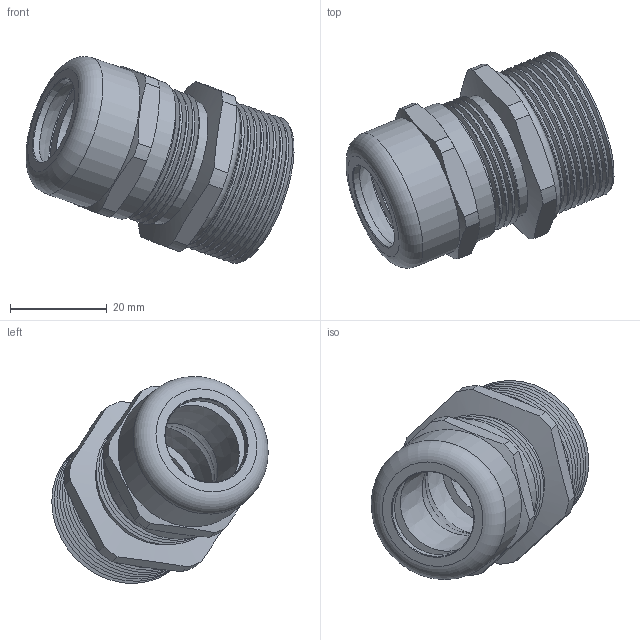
import cadquery as cq
import math


axis_heading = 22.27
axis_drop = 17.7
axis_roll = 0.9

seal_front = -19.55
seal_end = -8.2
seal_radius = 24.2 / 2
seal_front_bore_radius = 18.87 / 2
seal_end_bore_radius = 18.17 / 2

cap_front = -25.15
cap_end = -4.45
cap_radius = 29.72 / 2
cap_face_radius = 11.2
cap_rounding = cap_radius - cap_face_radius
cap_opening_radius = 18.17 / 2
cap_opening_chamfer = 0.15
cap_lip_end = -23.6
cap_cone_end = -19.85
cap_bore_radius = 26.72 / 2
cap_hex_apothem = 15.1
cap_hex_corner_radius = 16.66
cap_hex_front = -12.85
cap_hex_back = -8.45
cap_hex_bevel = 20.0

cage_radius = seal_radius
cage_throat = -4.0
cage_throat_radius = 10.0
cage_end = 0.8
cage_end_bore_radius = 22.9 / 2

neck_radius = cap_bore_radius
body_end = 22.95
body_bore_radius = 22.07 / 2
body_shoulder = 8.1
outlet_radius = 18.8 / 2

flange_front = 3.95
flange_back = 8.45
flange_apothem = 17.05
flange_corner_radius = 18.75
flange_front_bevel = 8.0
flange_back_bevel = 15.0
ring_radius = 17.0
ring_end = 10.3

thread_pitch = 1.5
thread_flank = 0.5
neck_crest_radius = 14.2
neck_first_crest = -3.1
neck_crests = 4
entry_crest_radius = 15.9
entry_root_radius = 15.2
entry_first_crest = 10.45
entry_crests = 9
entry_end_radius = 31.16 / 2


def revolved(outline):
    """Solid of revolution about local Z from a closed outline in the XZ plane."""
    return outline.close().revolve(360, (0, 0, 0), (0, 1, 0))


def turned(points):
    """Solid of revolution from straight-sided (radius, station) points."""
    return revolved(cq.Workplane("XZ").polyline(points))


def drilled(solid, radius, front, back):
    """The solid with a round hole along the axis between two stations."""
    drill = cq.Workplane("XY", origin=(0, 0, front)).circle(radius).extrude(back - front)
    return solid.cut(drill)


def hexagon(apothem, corner_radius, front, back, flat_radii, bevels):
    """Hexagonal collar with turned corners and conical end faces (front, back)."""
    front_flat_radius, back_flat_radius = flat_radii
    front_bevel, back_bevel = bevels
    front_rise = (corner_radius - front_flat_radius) * math.tan(math.radians(front_bevel))
    back_drop = (corner_radius - back_flat_radius) * math.tan(math.radians(back_bevel))
    blank = turned([
        (0, front),
        (front_flat_radius, front),
        (corner_radius, front + front_rise),
        (corner_radius, back - back_drop),
        (back_flat_radius, back),
        (0, back),
    ])
    prism = (
        cq.Workplane("XY", origin=(0, 0, front))
        .polygon(6, 2 * apothem, circumscribed=True)
        .extrude(back - front)
        .rotate((0, 0, 0), (0, 0, 1), axis_roll)
    )
    return prism.intersect(blank)


def ridges(first_crest, count, crest_radius, root_radius):
    """Outline points of a row of V-shaped thread ridges."""
    points = []
    for i in range(count):
        crest = first_crest + i * thread_pitch
        points += [
            (root_radius, crest - thread_flank),
            (crest_radius, crest),
            (root_radius, crest + thread_flank),
        ]
    return points


def make_cap():
    arc_offset = cap_rounding * math.sqrt(0.5)
    shell = revolved(
        cq.Workplane("XZ")
        .moveTo(cap_opening_radius, cap_front + cap_opening_chamfer)
        .lineTo(cap_opening_radius + cap_opening_chamfer, cap_front)
        .lineTo(cap_face_radius, cap_front)
        .threePointArc(
            (cap_face_radius + arc_offset, cap_front + cap_rounding - arc_offset),
            (cap_radius, cap_front + cap_rounding),
        )
        .lineTo(cap_radius, cap_end)
        .lineTo(cap_bore_radius, cap_end)
        .lineTo(cap_bore_radius, seal_end)
        .lineTo(seal_radius, seal_end)
        .lineTo(seal_radius, cap_cone_end)
        .lineTo(cap_opening_radius, cap_lip_end)
    )
    collar = hexagon(
        cap_hex_apothem, cap_hex_corner_radius, cap_hex_front, cap_hex_back,
        (cap_radius, cap_radius), (cap_hex_bevel, cap_hex_bevel),
    )
    return shell.union(drilled(collar, cap_bore_radius, cap_hex_front, cap_hex_back))


def make_seal():
    return turned([
        (seal_front_bore_radius, seal_front),
        (seal_radius, seal_front),
        (seal_radius, seal_end),
        (seal_end_bore_radius, seal_end),
    ])


def make_cage():
    return turned([
        (seal_end_bore_radius, seal_end),
        (cage_radius, seal_end),
        (cage_radius, cage_end),
        (cage_end_bore_radius, cage_end),
        (cage_throat_radius, cage_throat),
    ])


def make_barrel():
    """Threaded sleeve of the body with its stepped bore."""
    points = [(cage_radius, seal_end), (neck_radius, seal_end)]
    points += ridges(neck_first_crest, neck_crests, neck_crest_radius, neck_radius)
    points += [(neck_radius, flange_back), (entry_root_radius, flange_back)]
    points += ridges(entry_first_crest, entry_crests, entry_crest_radius, entry_root_radius)
    points[-1] = (entry_end_radius, body_end)
    points += [
        (outlet_radius, body_end),
        (outlet_radius, body_shoulder),
        (body_bore_radius, body_shoulder),
        (cage_end_bore_radius, cage_end),
        (cage_radius, cage_end),
    ]
    return turned(points)


def make_ring():
    """Quarter-round ring behind the flange, rooted inside it."""
    rounding = ring_end - flange_back
    arc_offset = rounding * math.sqrt(0.5)
    ring_root = (flange_front + flange_back) / 2
    return revolved(
        cq.Workplane("XZ")
        .moveTo(neck_radius, ring_root)
        .lineTo(ring_radius, ring_root)
        .lineTo(ring_radius, flange_back)
        .threePointArc(
            (ring_radius - rounding + arc_offset, flange_back + arc_offset),
            (ring_radius - rounding, ring_end),
        )
        .lineTo(neck_radius, ring_end)
    )


def make_body():
    flange = hexagon(
        flange_apothem, flange_corner_radius, flange_front, flange_back,
        (neck_radius, ring_radius), (flange_front_bevel, flange_back_bevel),
    )
    hole_radius = (body_bore_radius + neck_radius) / 2
    flange = drilled(flange, hole_radius, flange_front, flange_back)
    return make_barrel().union(flange).union(make_ring())


def placed(body):
    """The body's solid, turned from local Z onto the gland axis."""
    heading = math.radians(axis_heading)
    drop = math.radians(axis_drop)
    axis = cq.Vector(
        math.cos(heading) * math.cos(drop),
        math.sin(heading) * math.cos(drop),
        -math.sin(drop),
    )
    side = axis.cross(cq.Vector(0, 1, 0))
    return body.val().located(cq.Plane((0, 0, 0), side, axis).location)


cap = make_cap()
seal = make_seal()
cage = make_cage()
body = make_body()

result = cq.Compound.makeCompound([placed(cap), placed(seal), placed(cage), placed(body)])